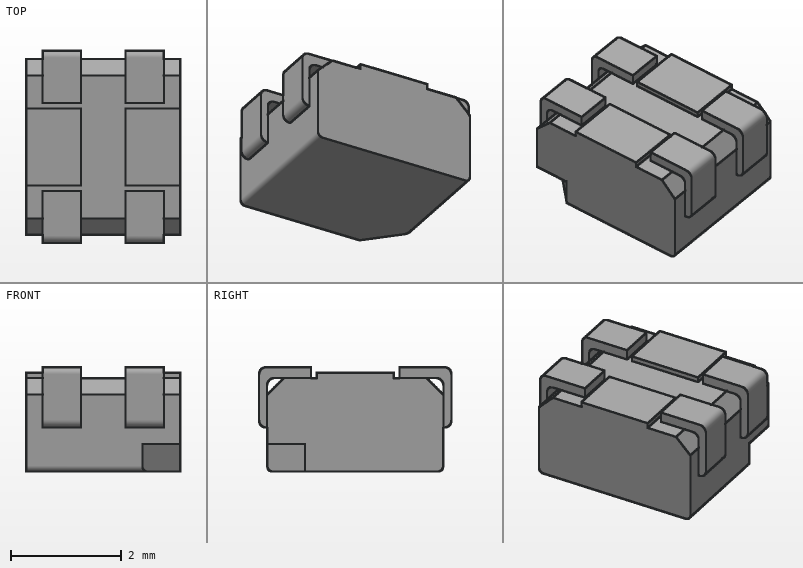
import cadquery as cq

body_width = 2.8
body_length = 3.2
body_height = 1.7
top_chamfer = 0.3
base_fillet = 0.1

pad_width = 1.0
pad_length = 1.4
pad_height = 0.1

terminal_width = 0.7
terminal_offset = 0.75
terminal_top_thickness = 0.2
terminal_side_thickness = 0.15
terminal_drop = 1.1
terminal_reach = 0.95
terminal_bend_radius = 0.13

marker_leg = 0.69
marker_height = 0.5

half_width = body_width / 2
half_length = body_length / 2


def make_body():
    """Block with both top end edges chamfered and both base end edges rounded."""
    block = cq.Workplane("XY").box(body_width, body_length, body_height, centered=(True, True, False))
    block = block.faces(">Z").edges("|X").chamfer(top_chamfer)
    return block.faces("<Z").edges("|X").fillet(base_fillet)


def make_marker_cut():
    """Triangular prism that bevels the lower part of one vertical corner."""
    return (
        cq.Workplane("XY")
        .moveTo(half_width, -half_length)
        .lineTo(half_width, -half_length + marker_leg)
        .lineTo(half_width - marker_leg, -half_length)
        .close()
        .extrude(marker_height)
    )


def make_pad(side):
    """Raised pad; side is -1 for the -X side and +1 for the +X side."""
    pad_center = side * (half_width - pad_width / 2)
    return (
        cq.Workplane("XY", origin=(pad_center, 0, body_height))
        .box(pad_width, pad_length, pad_height, centered=(True, True, False))
    )


def make_terminal(x_center, end):
    """L-shaped terminal; end is -1 for the -Y end and +1 for the +Y end."""
    outer = half_length + terminal_side_thickness
    tip = outer - terminal_reach
    top = body_height + terminal_top_thickness
    bottom = top - terminal_drop
    outline = [
        (end * tip, body_height),
        (end * tip, top),
        (end * outer, top),
        (end * outer, bottom),
        (end * half_length, bottom),
        (end * half_length, body_height),
    ]
    terminal = (
        cq.Workplane("YZ", origin=(x_center, 0, 0))
        .polyline(outline)
        .close()
        .extrude(terminal_width / 2, both=True)
    )
    outer_face = ">Y" if end > 0 else "<Y"
    inner_bend = cq.selectors.NearestToPointSelector((x_center, end * half_length, body_height))
    terminal = terminal.faces(outer_face).edges("|X").fillet(terminal_bend_radius)
    return terminal.edges("|X").edges(inner_bend).fillet(terminal_bend_radius)


result = make_body().cut(make_marker_cut())
for side in (-1, 1):
    result = result.union(make_pad(side))
    for end in (-1, 1):
        result = result.union(make_terminal(side * terminal_offset, end))